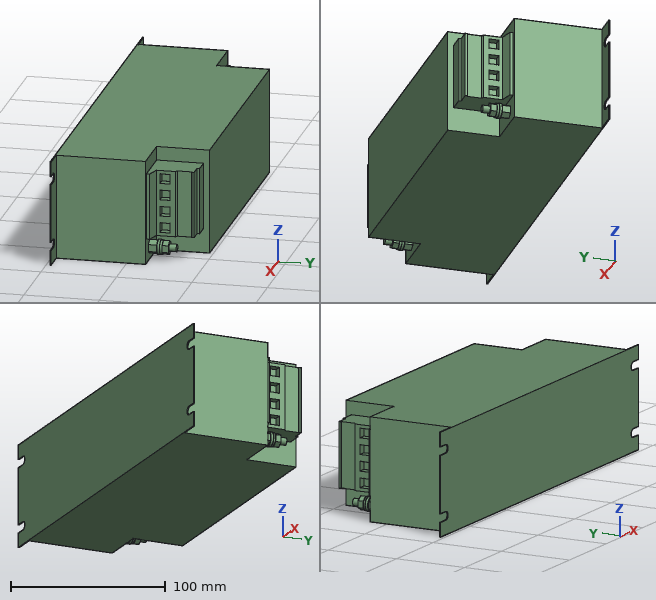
import cadquery as cq
import math


plate_length = 270.0
height = 70.0
plate_thickness = 0.8
slot_width = 5.7
slot_depth = 10.0
slot_edge_distance = 12.7

wide_length = 239.8
narrow_length = 175.0
shelf_y = 60.0
top_y = 95.0

terminal_count = 4
terminal_pitch = 11.0
block_height = terminal_count * terminal_pitch
block_bottom_z = 16.5
block_center_z = block_bottom_z + block_height / 2
block_face_x = 108.5
recessed_face_x = 107.0
brow_x = 107.7
ridge_x = 98.8
lip_x = 117.5
block_top_y = 91.0
brow_top_y = 89.5
brow_bottom_y = 87.8
face_step_y = 78.0
face_bevel_drop = 0.8
lip_root_y = 64.5
lip_tip_y = 62.0

opening_size = 6.5
opening_center_y = 70.2
opening_depth = 5.5

stud_x = 107.7
stud_z = 8.6
stud_diameter = 4.9
stud_tip_y = 78.0
nut_across_flats = 8.0
washer_diameter = 10.0
spring_washer_diameter = 9.5
base_nut_top_y = 65.5
washer_top_y = 67.5
nut_bottom_y = 69.0
nut_top_y = 73.2


def box_on_plate(length, top):
    """Full-height box standing on the plane Y = 0, centred in X."""
    return cq.Workplane("XY").box(length, top, height, centered=(True, False, False))


def edge_slot(side, z):
    """Open-ended slot through the plate, running in from one end."""
    radius = slot_width / 2
    arc_center_x = plate_length / 2 - slot_depth + radius
    straight = cq.Workplane("XY").box(slot_depth - radius, plate_thickness, slot_width,
                                      centered=(False, False, True))
    straight = straight.translate((arc_center_x, 0, 0))
    rounded = cq.Workplane("XZ").center(arc_center_x, 0).circle(radius).extrude(-plate_thickness)
    slot = straight.union(rounded).translate((0, 0, z))
    return slot if side > 0 else slot.mirror("YZ")


def mounting_plate():
    plate = box_on_plate(plate_length, plate_thickness)
    for side in (-1, 1):
        for z in (slot_edge_distance, height - slot_edge_distance):
            plate = plate.cut(edge_slot(side, z))
    return plate


def terminal_block():
    """Terminal block at the -X end: one stepped profile along Z with a row of wire openings."""
    profile = [
        (-narrow_length / 2, shelf_y),
        (-narrow_length / 2, block_top_y),
        (-ridge_x, block_top_y),
        (-ridge_x, brow_top_y),
        (-brow_x, brow_top_y),
        (-brow_x, brow_bottom_y),
        (-recessed_face_x, brow_bottom_y),
        (-recessed_face_x, face_step_y),
        (-block_face_x, face_step_y - face_bevel_drop),
        (-block_face_x, lip_root_y),
        (-lip_x, lip_tip_y),
        (-lip_x, shelf_y),
    ]
    block = cq.Workplane("XY").workplane(offset=block_bottom_z)
    block = block.polyline(profile).close().extrude(block_height)

    opening = cq.Workplane("XY").box(opening_depth, opening_size, opening_size,
                                     centered=(False, True, True))
    for index in range(terminal_count):
        z = block_center_z + (index - (terminal_count - 1) / 2) * terminal_pitch
        block = block.cut(opening.translate((-block_face_x, opening_center_y, z)))
    return block


def stud_section(bottom, top):
    """Workplane on the stud axis at the bottom height, and the length up to the top height."""
    plane = cq.Plane(origin=(-stud_x, bottom, stud_z), xDir=(0, 0, 1), normal=(0, 1, 0))
    return cq.Workplane(plane), top - bottom


def stud_disc(diameter, bottom, top):
    plane, length = stud_section(bottom, top)
    return plane.circle(diameter / 2).extrude(length)


def stud_nut(bottom, top):
    """Hex nut with two corners pointing along Z."""
    plane, length = stud_section(bottom, top)
    across_corners = nut_across_flats / math.cos(math.pi / 6)
    return plane.polygon(6, across_corners).extrude(length)


def earth_stud():
    """Earth stud at the -X end, with a base nut, a flat washer, a spring washer and a clamping nut."""
    stud = stud_disc(stud_diameter, shelf_y, stud_tip_y)
    stud = stud.union(stud_nut(shelf_y, base_nut_top_y))
    stud = stud.union(stud_disc(washer_diameter, base_nut_top_y, washer_top_y))
    stud = stud.union(stud_disc(spring_washer_diameter, washer_top_y, nut_bottom_y))
    return stud.union(stud_nut(nut_bottom_y, nut_top_y))


housing = box_on_plate(wide_length, shelf_y).union(box_on_plate(narrow_length, top_y))
result = mounting_plate().union(housing)
for fitting in (terminal_block(), earth_stud()):
    result = result.union(fitting).union(fitting.mirror("YZ"))